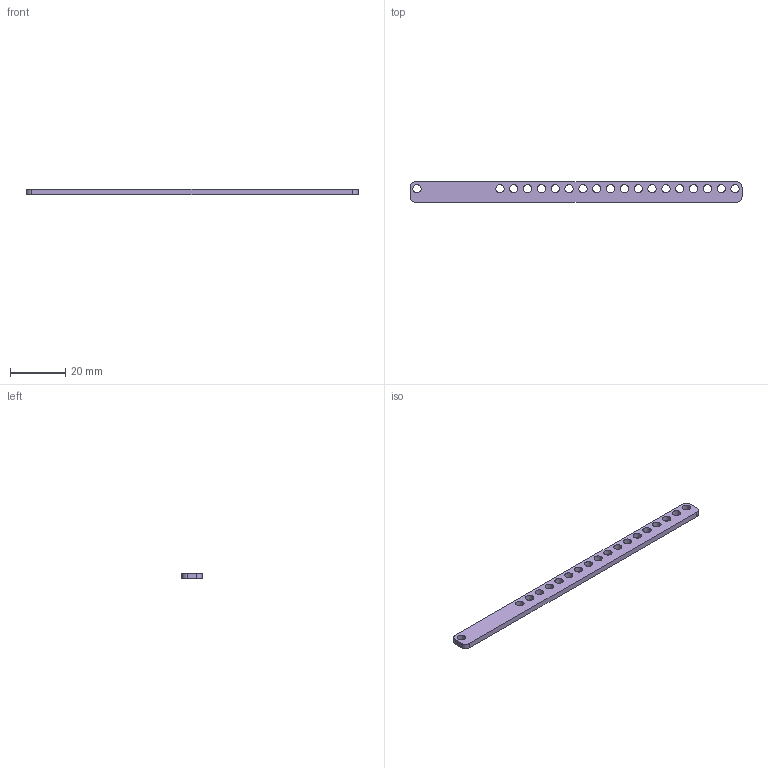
import cadquery as cq

length = 120.0
width = 7.3
thickness = 2.0
corner_radius = 2.0

hole_diameter = 3.0
hole_edge_distance = 2.5
hole_pitch = 5.0
row_hole_count = 18

hole_y = width / 2 - hole_edge_distance
end_hole_x = length / 2 - hole_edge_distance


def make_bar():
    """Flat bar with its four upright corners rounded."""
    bar = cq.Workplane("XY").box(length, width, thickness, centered=(True, True, False))
    return bar.edges("|Z").fillet(corner_radius)


def hole_centres():
    """Evenly spaced row, plus one separate hole at the -X end."""
    row = [(end_hole_x - i * hole_pitch, hole_y) for i in range(row_hole_count)]
    return row + [(-end_hole_x, hole_y)]


result = make_bar().faces(">Z").workplane(origin=(0, 0, 0)).pushPoints(hole_centres()).hole(hole_diameter)